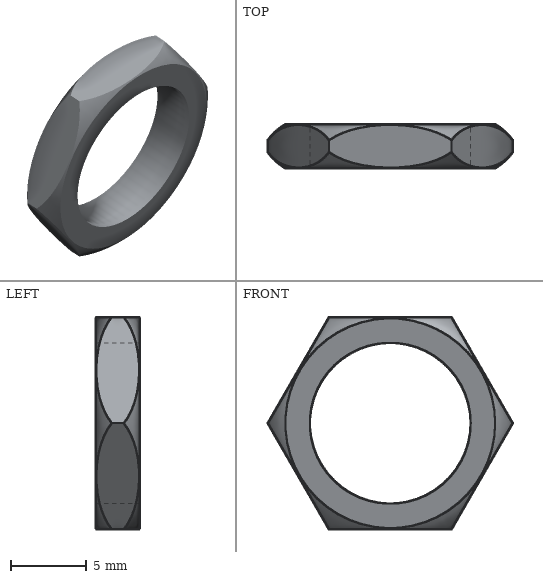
import cadquery as cq
import math

across_corners = 16.24
thickness = 2.92
bore_diameter = 10.64
face_diameter = 13.9
corner_edge_length = 0.8
chamfer_bulge = 0.08

corner_radius = across_corners / 2
face_radius = face_diameter / 2
half_thickness = thickness / 2
half_edge = corner_edge_length / 2

chamfer_width = corner_radius - face_radius
chamfer_depth = half_thickness - half_edge
chamfer_length = math.hypot(chamfer_width, chamfer_depth)
arc_radius_position = (corner_radius + face_radius) / 2 + chamfer_bulge * chamfer_depth / chamfer_length
arc_y = (half_thickness + half_edge) / 2 + chamfer_bulge * chamfer_width / chamfer_length

hexagon_ring = (
    cq.Workplane("XZ", origin=(0, half_thickness, 0))
    .polygon(6, across_corners)
    .circle(bore_diameter / 2)
    .extrude(thickness)
)

envelope = (
    cq.Workplane("XY")
    .moveTo(0, -half_thickness)
    .lineTo(face_radius, -half_thickness)
    .threePointArc((arc_radius_position, -arc_y), (corner_radius, -half_edge))
    .lineTo(corner_radius, half_edge)
    .threePointArc((arc_radius_position, arc_y), (face_radius, half_thickness))
    .lineTo(0, half_thickness)
    .close()
    .revolve(360, (0, 0, 0), (0, 1, 0))
)

result = hexagon_ring.intersect(envelope)